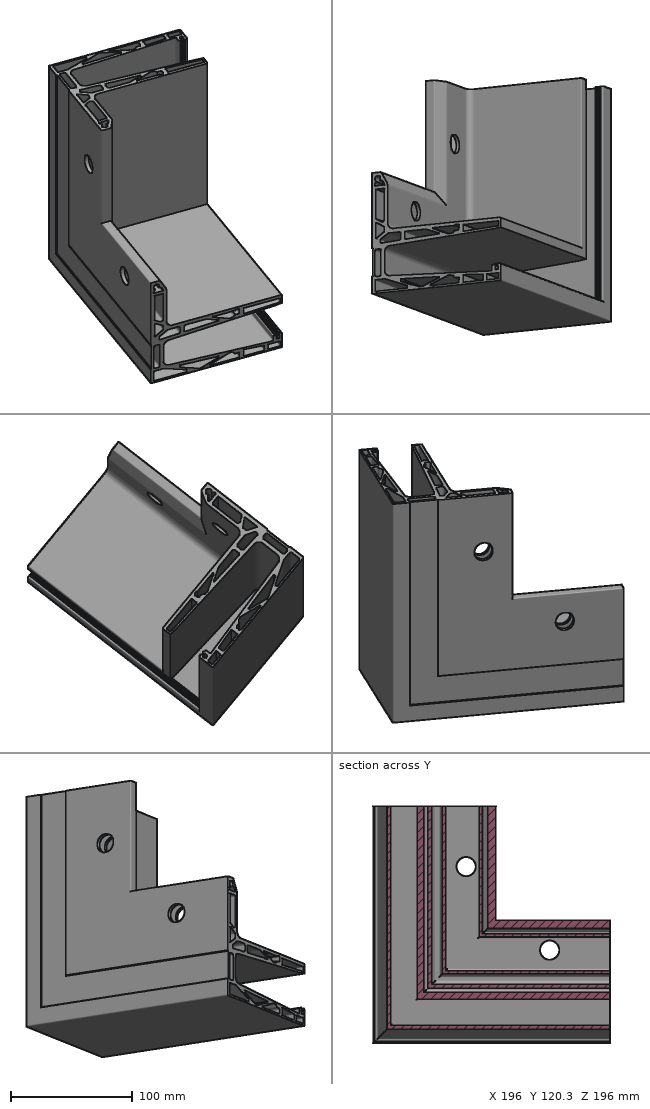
import cadquery as cq
import math


ARM_LENGTH = 196.0
PROFILE_DEPTH = 120.3
EDGE_RADIUS = 1.0

COLUMN_WIDTH = 53.3
CHANNEL_CENTRE = 26.5
CHANNEL_FLOOR = 12.0
CHANNEL_FLOOR_WIDTH = 24.7
CHANNEL_FLOOR_RADIUS = 5.0
WALL_TAPER = math.tan(math.radians(3.0))
WALL_FLARE_START = 113.7
WALL_FLARE_END = 44.9

HOOK_REACH = 14.9
HOOK_BASE = 112.3
HOOK_BASE_RADIUS = 1.2
LIP_END = 14.0
LIP_RADIUS = 0.5
LIP_FLARE_START = 113.9
LIP_FLARE_END = 114.9
GASKET_CENTRE = 116.6
GASKET_BACK = 9.5
GASKET_BACK_RIB = 0.5
GASKET_NECK_START = 12.5
GASKET_HALF_HEIGHT = 1.4
GASKET_RADIUS = 0.5
GASKET_NECK_HALF_HEIGHT = 0.5

FLANGE_REACH = 102.0
FLANGE_THICKNESS = 14.7
FLANGE_ROOT_RADIUS = 5.5
FLANGE_BEVEL_START = 91.5
FLANGE_BEVEL_RADIUS = 4.9
FLANGE_TIP_THICKNESS = 8.6
FLANGE_TIP_RADIUS = 1.4
HOLE_DIAMETER = 15.7
HOLE_OFFSET = 77.0
HOLE_FROM_END = 50.0

RECESS_START = 14.3
RECESS_END = 38.6
RECESS_DEPTH = 0.8
RECESS_BEVEL = 0.5

OUTER_SKIN = 1.8
FLANGE_SKIN = 3.7
INNER_SKIN = 3.0
INNER_LIMIT = COLUMN_WIDTH - INNER_SKIN
CORNER = 0.8

OUTER_WALL_CAVITIES = [
    [(OUTER_SKIN, 107.6, 0), (6.7, 107.6, 0), (6.7, 118.5, CORNER), (OUTER_SKIN, 118.5, CORNER)],
    [(OUTER_SKIN, 85.5, 0), (8.2, 85.5, 0), (6.9, 104.0, CORNER), (OUTER_SKIN, 104.0, CORNER)],
    [
        (OUTER_SKIN, 54.7, 0), (2.7, 54.7, 0), (9.2, 72.3, 1.5), (8.6, 75.7, 0.8), (6.7, 77.0, 1.2),
        (6.7, 81.3, 1.4), (OUTER_SKIN, 81.3, 1.4),
    ],
    [(1.4, 45.7, 4.0), (8.2, 27.0, 0), (10.2, 27.0, 0), (8.6, 62.5, 0), (7.6, 62.5, 0)],
    [
        (OUTER_SKIN, 3.1, CORNER), (11.5, 3.1, CORNER), (11.5, 12.2, 1.5), (4.0, 33.1, CORNER),
        (OUTER_SKIN, 33.1, CORNER),
    ],
]
INNER_WALL_CAVITIES = [
    [(44.7, 85.5, 0), (INNER_LIMIT, 85.5, 0), (INNER_LIMIT, 118.5, CORNER), (46.3, 118.5, CORNER)],
    [
        (49.8, 57.0, 0), (INNER_LIMIT, 57.0, 0), (INNER_LIMIT, 77.5, 0), (51.2, 78.2, CORNER),
        (51.2, 81.3, 1.4), (46.3, 81.3, 1.4), (46.3, 77.5, 0), (44.5, 76.0, 1.2), (44.0, 72.3, 1.2),
    ],
    [(43.1, 30.8, 1.2), (49.8, 30.8, 1.2), (49.8, 50.5, 1.0), (45.5, 62.5, 0), (44.7, 62.5, 0)],
    [(42.0, 8.0, 1.0), (45.0, 8.0, 1.0), (49.8, 15.7, 2.0), (49.8, 27.0, 1.8), (43.0, 27.0, 1.8)],
]
FRONT_CAVITIES = [
    [(14.3, 3.0, 1.5), (37.2, 3.0, 1.5), (37.2, 8.5, 1.5), (14.3, 8.5, 1.5)],
    [(46.0, FLANGE_SKIN, 0.4), (59.8, FLANGE_SKIN, 0.4), (55.3, 11.8, 1.2), (51.4, 11.8, 1.2)],
    [(63.0, FLANGE_SKIN, 0), (87.8, FLANGE_SKIN, 0), (87.8, 11.8, 1.2), (60.8, 11.8, 1.5), (59.8, 9.2, 0.8)],
    [(90.7, 3.0, 0), (92.3, 3.0, 0.4), (94.9, 4.9, 0), (94.9, 8.8, 0), (92.0, 11.5, 0.4), (90.7, 11.5, 0)],
]
SCREW_PORT_CENTRE = (96.5, 5.5)
SCREW_PORT_RADIUS = 2.5


def rounded_polygon(corners):
    """Closed wire through (x, y, radius) corners; a radius of 0 leaves a corner sharp."""
    pieces = []
    for index, (x, y, radius) in enumerate(corners):
        corner = cq.Vector(x, y)
        before = (cq.Vector(*corners[index - 1][:2]) - corner).normalized()
        after = (cq.Vector(*corners[(index + 1) % len(corners)][:2]) - corner).normalized()
        half_angle = before.getAngle(after) / 2
        tangent_length = radius / math.tan(half_angle)
        bisector = (before + after).normalized()
        arc_middle = corner + bisector * (radius / math.sin(half_angle) - radius)
        arc_start = corner + before * tangent_length
        arc_end = corner + after * tangent_length
        pieces.append((arc_start, arc_middle, arc_end, radius))

    edges = []
    for index, (arc_start, arc_middle, arc_end, radius) in enumerate(pieces):
        if radius > 0:
            edges.append(cq.Edge.makeThreePointArc(arc_start, arc_middle, arc_end))
        next_start = pieces[(index + 1) % len(pieces)][0]
        edges.append(cq.Edge.makeLine(arc_end, next_start))
    return cq.Wire.assembleEdges(edges)


def prism(corners):
    """Rounded polygon swept along the full length of the upright arm."""
    return cq.Workplane(cq.Solid.extrudeLinear(rounded_polygon(corners), [], cq.Vector(0, 0, ARM_LENGTH)))


def channel_half_width(y):
    return CHANNEL_FLOOR_WIDTH / 2 + (y - CHANNEL_FLOOR) * WALL_TAPER


def lip_and_gasket_groove():
    """Corners of the hook's lower lip and its groove: flared mouth, narrow neck and ribbed pocket."""
    below = [
        (LIP_END, HOOK_BASE, LIP_RADIUS),
        (LIP_END, LIP_FLARE_START, 0),
        (HOOK_REACH, LIP_FLARE_END, 0),
        (HOOK_REACH, GASKET_CENTRE - GASKET_HALF_HEIGHT, 0),
        (LIP_END, GASKET_CENTRE - GASKET_NECK_HALF_HEIGHT, 0),
        (GASKET_NECK_START, GASKET_CENTRE - GASKET_NECK_HALF_HEIGHT, 0),
        (GASKET_NECK_START, GASKET_CENTRE - GASKET_HALF_HEIGHT, GASKET_RADIUS),
        (GASKET_BACK, GASKET_CENTRE - GASKET_HALF_HEIGHT, GASKET_RADIUS),
        (GASKET_BACK + GASKET_BACK_RIB, GASKET_CENTRE, 0),
    ]
    above = [
        (GASKET_BACK, GASKET_CENTRE + GASKET_HALF_HEIGHT, GASKET_RADIUS),
        (GASKET_NECK_START, GASKET_CENTRE + GASKET_HALF_HEIGHT, GASKET_RADIUS),
        (GASKET_NECK_START, GASKET_CENTRE + GASKET_NECK_HALF_HEIGHT, 0),
        (LIP_END, GASKET_CENTRE + GASKET_NECK_HALF_HEIGHT, 0),
        (HOOK_REACH, GASKET_CENTRE + GASKET_HALF_HEIGHT, 0),
    ]
    return below + above


def outline_corners():
    """Outer boundary of the cross-section, counter-clockwise from the front outer corner."""
    recess = [
        (RECESS_START, 0, 0),
        (RECESS_START + RECESS_BEVEL, RECESS_DEPTH, 0),
        (RECESS_END - RECESS_BEVEL, RECESS_DEPTH, 0),
        (RECESS_END, 0, 0),
    ]
    flange = [
        (FLANGE_REACH, 0, EDGE_RADIUS),
        (FLANGE_REACH, FLANGE_TIP_THICKNESS, FLANGE_TIP_RADIUS),
        (FLANGE_BEVEL_START, FLANGE_THICKNESS, FLANGE_BEVEL_RADIUS),
        (COLUMN_WIDTH, FLANGE_THICKNESS, FLANGE_ROOT_RADIUS),
    ]
    inner_wall_end = [
        (COLUMN_WIDTH, PROFILE_DEPTH, EDGE_RADIUS),
        (WALL_FLARE_END, PROFILE_DEPTH, 0),
        (CHANNEL_CENTRE + channel_half_width(WALL_FLARE_START), WALL_FLARE_START, 0),
    ]
    channel = [
        (CHANNEL_CENTRE + channel_half_width(CHANNEL_FLOOR), CHANNEL_FLOOR, CHANNEL_FLOOR_RADIUS),
        (CHANNEL_CENTRE - channel_half_width(CHANNEL_FLOOR), CHANNEL_FLOOR, CHANNEL_FLOOR_RADIUS),
        (CHANNEL_CENTRE - channel_half_width(HOOK_BASE), HOOK_BASE, HOOK_BASE_RADIUS),
    ]
    outer_wall_end = [
        (HOOK_REACH, PROFILE_DEPTH, EDGE_RADIUS),
        (0, PROFILE_DEPTH, EDGE_RADIUS),
    ]
    front_corner = [(0, 0, EDGE_RADIUS)]
    front = front_corner + recess + flange
    return front + inner_wall_end + channel + lip_and_gasket_groove() + outer_wall_end


def straight_arm():
    """Upright length of the profile with its cavities, before the mitre cut."""
    arm = prism(outline_corners())
    for cavity in OUTER_WALL_CAVITIES + INNER_WALL_CAVITIES + FRONT_CAVITIES:
        arm = arm.cut(prism(cavity))
    screw_port = cq.Workplane().center(*SCREW_PORT_CENTRE).circle(SCREW_PORT_RADIUS).extrude(ARM_LENGTH)
    return arm.cut(screw_port)


def mitred_arm():
    """Upright arm cut at 45 degrees, with the mounting hole through its flange."""
    mitre = (
        cq.Workplane("XZ")
        .polyline([(0, 0), (ARM_LENGTH, ARM_LENGTH), (0, ARM_LENGTH)])
        .close()
        .extrude(-PROFILE_DEPTH)
    )
    hole = (
        cq.Workplane("XZ")
        .center(HOLE_OFFSET, ARM_LENGTH - HOLE_FROM_END)
        .circle(HOLE_DIAMETER / 2)
        .extrude(-FLANGE_THICKNESS)
    )
    return straight_arm().intersect(mitre).cut(hole)


upright_arm = mitred_arm()
level_arm = upright_arm.mirror(cq.Vector(1, 0, -1))

result = upright_arm.union(level_arm, clean=False)